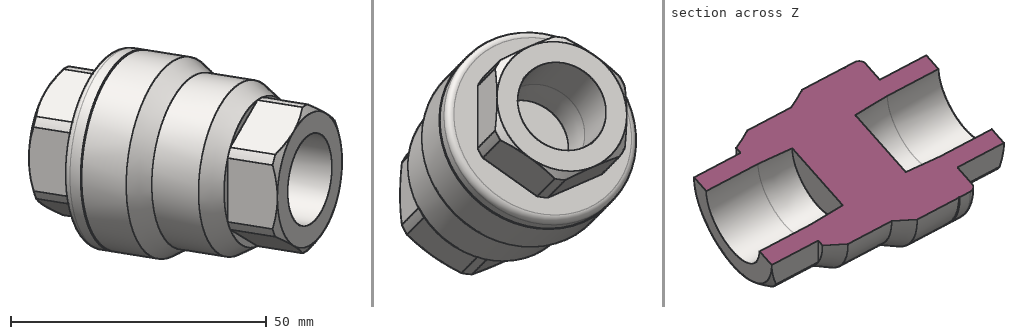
import cadquery as cq
import math

total_length = 55.0
hex_length = 11.0
left_end = -total_length / 2
right_end = total_length / 2
body_left = left_end + hex_length
body_right = right_end - hex_length

flange_radius = 40.0 / 2
flange_length = 14.0
sleeve_radius = 35.0 / 2
cone_end_radius = 30.0 / 2
cone_angle = math.radians(30)
flange_fillet = 1.5

groove_offset = 4.0
groove_width = 0.2
groove_depth = 0.1
cutter_overlap = 0.5

hex_sides = 6
across_flats = 27.0
hex_corner_radius = cone_end_radius
end_face_radius = across_flats / 2
chamfer_angle = math.radians(35)

bore_radius = 18.4 / 2
bore_depth = 12.2
floor_radius = 17.4 / 2
floor_depth = 20.0


def revolve_about_x(profile):
    """Turn a closed (x, radius) outline around the X axis."""
    return cq.Workplane("XY").polyline(profile).close().revolve(360, (0, 0, 0), (1, 0, 0))


def make_body():
    flange_right = body_left + flange_length
    sleeve_left = flange_right + (flange_radius - sleeve_radius) / math.tan(cone_angle)
    sleeve_right = body_right - (sleeve_radius - cone_end_radius) / math.tan(cone_angle)
    body = revolve_about_x([
        (body_left, 0),
        (body_left, flange_radius),
        (flange_right, flange_radius),
        (sleeve_left, sleeve_radius),
        (sleeve_right, sleeve_radius),
        (body_right, cone_end_radius),
        (body_right, 0),
    ])
    return body.faces("<X").edges().fillet(flange_fillet)


def make_groove_cutter():
    groove_left = body_left + groove_offset - groove_width / 2
    groove_right = groove_left + groove_width
    groove_floor = flange_radius - groove_depth
    return revolve_about_x([
        (groove_left, groove_floor),
        (groove_left, flange_radius + cutter_overlap),
        (groove_right, flange_radius + cutter_overlap),
        (groove_right, groove_floor),
    ])


def make_hex_bar():
    """Hexagonal bar over the full length, with turned corners and chamfered ends."""
    corner_diameter = across_flats / math.cos(math.pi / hex_sides)
    bar = (
        cq.Workplane("YZ", origin=(left_end, 0, 0))
        .transformed(rotate=(0, 0, 90))
        .polygon(hex_sides, corner_diameter)
        .extrude(total_length)
    )
    chamfer_length = (hex_corner_radius - end_face_radius) * math.tan(chamfer_angle)
    turned_envelope = revolve_about_x([
        (left_end, 0),
        (left_end, end_face_radius),
        (left_end + chamfer_length, hex_corner_radius),
        (right_end - chamfer_length, hex_corner_radius),
        (right_end, end_face_radius),
        (right_end, 0),
    ])
    return bar.intersect(turned_envelope)


def make_left_bore_cutter():
    return revolve_about_x([
        (left_end, 0),
        (left_end, bore_radius),
        (left_end + bore_depth, bore_radius),
        (left_end + floor_depth, floor_radius),
        (left_end + floor_depth, 0),
    ])


left_bore = make_left_bore_cutter()
right_bore = left_bore.mirror("YZ")

result = make_body().cut(make_groove_cutter()).union(make_hex_bar()).cut(left_bore).cut(right_bore)